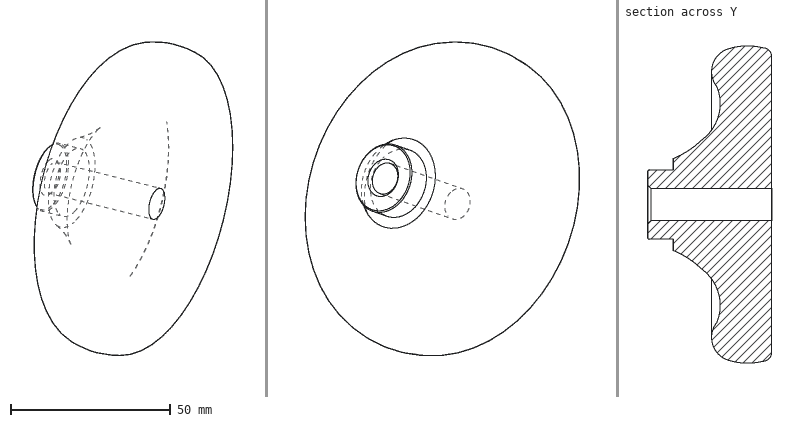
import cadquery as cq
import math

overall_length = 39.0
spigot_length = 8.0
cone_end = 16.9
rim_front = 20.0
rim_shoulder = 25.3
rim_crown = 31.0
rim_back_edge = 36.2

rim_radius = 50.0
spigot_radius = 11.0
bore_radius = 5.0
cone_start_radius = 14.5
cone_end_radius = 20.3
dish_outer_radius = 37.0
rim_back_edge_radius = 49.4
back_face_radius = 46.8

cone_bulge = 0.5
dish_arc_radius = 14.2
rim_arc_radius = 7.6
rim_arc_center_radius = 41.8
back_arc_bulge = 0.7

spigot_chamfer = 0.4
bore_chamfer = 1.0


def arc_middle(start, end, sagitta):
    """Middle point of an arc that bulges to the left of start -> end."""
    dx = end[0] - start[0]
    dr = end[1] - start[1]
    chord = math.hypot(dx, dr)
    return (
        (start[0] + end[0]) / 2 - sagitta * dr / chord,
        (start[1] + end[1]) / 2 + sagitta * dx / chord,
    )


def sagitta_of(start, end, radius):
    """Height of an arc of the given radius above its chord."""
    half_chord = math.dist(start, end) / 2
    return radius - math.sqrt(radius**2 - half_chord**2)


rim_arc_center_x = rim_front + rim_arc_radius
dish_drop = rim_arc_center_radius - dish_outer_radius
dish_end_x = rim_arc_center_x - math.sqrt(rim_arc_radius**2 - dish_drop**2)
shoulder_offset = rim_arc_center_x - rim_shoulder
shoulder_radius = rim_arc_center_radius + math.sqrt(rim_arc_radius**2 - shoulder_offset**2)

cone_start = (spigot_length, cone_start_radius)
cone_tip = (cone_end, cone_end_radius)
dish_end = (dish_end_x, dish_outer_radius)
back_edge = (rim_back_edge, rim_back_edge_radius)
back_corner = (overall_length, back_face_radius)
dish_bulge = sagitta_of(cone_tip, dish_end, dish_arc_radius)

profile = (
    cq.Workplane("XY")
    .moveTo(0, bore_radius + bore_chamfer)
    .lineTo(0, spigot_radius - spigot_chamfer)
    .lineTo(spigot_chamfer, spigot_radius)
    .lineTo(spigot_length, spigot_radius)
    .lineTo(*cone_start)
    .threePointArc(arc_middle(cone_start, cone_tip, -cone_bulge), cone_tip)
    .threePointArc(arc_middle(cone_tip, dish_end, -dish_bulge), dish_end)
    .threePointArc((rim_front, rim_arc_center_radius), (rim_shoulder, shoulder_radius))
    .threePointArc((rim_crown, rim_radius), back_edge)
    .threePointArc(arc_middle(back_edge, back_corner, back_arc_bulge), back_corner)
    .lineTo(overall_length, bore_radius)
    .lineTo(bore_chamfer, bore_radius)
    .close()
)
full_turn = 360
result = profile.revolve(full_turn, (0, 0, 0), (1, 0, 0))